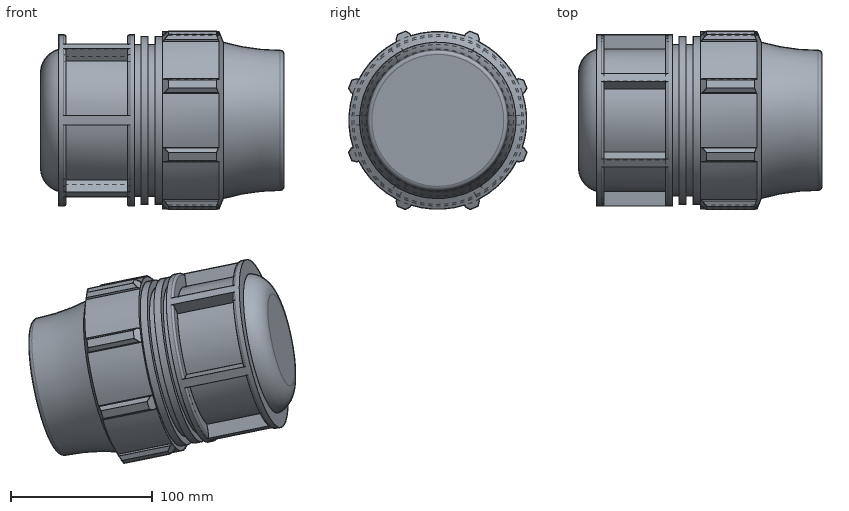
import cadquery as cq
import math

TOTAL_LENGTH = 172.0

CORE_RADIUS = 50.4
DOME_RADIUS = 50.9
DOME_FILLET = 17.7
GRIP_RADIUS = 60.5
GRIP_START = 12.9
GRIP_END = 66.5
GRIP_FLANGE_WIDTH = 5.2
GRIP_EDGE_FILLET = 1.7
GRIP_RIB_COUNT = 6
GRIP_RIB_WIDTH = 6.5

NECK_RADIUS = 53.7
COLLAR_RADIUS = 59.3
COLLAR_WIDTH = 5.2
COLLAR_PITCH = 10.1
COLLAR_COUNT = 2

NUT_RADIUS = 62.8
NUT_START = 86.2
NUT_CHAMFER_START = 126.0
NUT_END = 129.2
LUG_COUNT = 8
LUG_RADIUS = 66.9
LUG_SHOULDER_RADIUS = 64.0
LUG_BASE_WIDTH = 10.7
LUG_TOP_WIDTH = 6.2

NOSE_BASE_RADIUS = 55.2
NOSE_TIP_RADIUS = 49.5
NOSE_EDGE_FILLET = 3.0


def revolve_about_x(profile):
    """Revolve a closed (x, radius) profile a full turn about the X axis."""
    return profile.close().revolve(360, (0, 0, 0), (1, 0, 0))


def disc(start, end, radius):
    """Solid cylinder along X between two stations."""
    return cq.Workplane("YZ").workplane(offset=start).circle(radius).extrude(end - start)


def ring_of(feature, count, first_angle):
    """Union of equally spaced copies of a feature turned about the X axis."""
    ring = cq.Workplane("XY")
    for i in range(count):
        ring = ring.add(feature.rotate((0, 0, 0), (1, 0, 0), first_angle + i * 360 / count))
    return ring.combine()


def domed_core():
    """Rounded end cap, cut short by the first grip flange, on a plain core."""
    dome = disc(0, GRIP_END, DOME_RADIUS).faces("<X").edges().fillet(DOME_FILLET)
    dome = dome.intersect(disc(0, GRIP_START, DOME_RADIUS))
    return dome.union(disc(GRIP_START, GRIP_END, CORE_RADIUS))


def grip():
    """Two flanges with rounded inner rims, joined by ribs parallel to the axis."""
    left_flange = disc(GRIP_START, GRIP_START + GRIP_FLANGE_WIDTH, GRIP_RADIUS)
    right_flange = disc(GRIP_END - GRIP_FLANGE_WIDTH, GRIP_END, GRIP_RADIUS)
    left_flange = left_flange.faces(">X").edges().fillet(GRIP_EDGE_FILLET)
    right_flange = right_flange.faces("<X").edges().fillet(GRIP_EDGE_FILLET)

    rib = cq.Workplane("XY").box(
        GRIP_END - GRIP_START, GRIP_RADIUS, GRIP_RIB_WIDTH, centered=(False, False, True)
    ).translate((GRIP_START, 0, 0))
    ribs = ring_of(rib, GRIP_RIB_COUNT, 0)
    ribs = ribs.intersect(disc(GRIP_START, GRIP_END, GRIP_RADIUS))
    return left_flange.union(right_flange).union(ribs)


def neck():
    """Plain neck carrying evenly spaced collars, the last one against the nut."""
    body = disc(GRIP_END, NUT_START, NECK_RADIUS)
    for i in range(COLLAR_COUNT):
        collar_end = NUT_START - i * COLLAR_PITCH
        body = body.union(disc(collar_end - COLLAR_WIDTH, collar_end, COLLAR_RADIUS))
    return body


def nut():
    """Nut whose end cone also trims the lugs; the lugs ramp up at 45 degrees at the other end."""
    cone_slope = (NUT_END - NUT_CHAMFER_START) / (NUT_RADIUS - NOSE_BASE_RADIUS)
    envelope_rise = 2 * (LUG_RADIUS - NUT_RADIUS)
    envelope = revolve_about_x(
        cq.Workplane("XY")
        .moveTo(NUT_START, 0)
        .lineTo(NUT_START, NUT_RADIUS)
        .lineTo(NUT_START + envelope_rise, NUT_RADIUS + envelope_rise)
        .lineTo(NUT_CHAMFER_START - cone_slope * envelope_rise, NUT_RADIUS + envelope_rise)
        .lineTo(NUT_END, NOSE_BASE_RADIUS)
        .lineTo(NUT_END, 0)
    )
    lug = (
        cq.Workplane("YZ")
        .workplane(offset=NUT_START)
        .moveTo(0, -LUG_BASE_WIDTH / 2)
        .lineTo(LUG_SHOULDER_RADIUS, -LUG_BASE_WIDTH / 2)
        .lineTo(LUG_RADIUS, -LUG_TOP_WIDTH / 2)
        .lineTo(LUG_RADIUS, LUG_TOP_WIDTH / 2)
        .lineTo(LUG_SHOULDER_RADIUS, LUG_BASE_WIDTH / 2)
        .lineTo(0, LUG_BASE_WIDTH / 2)
        .close()
        .extrude(NUT_END - NUT_START)
    )
    half_pitch = 180 / LUG_COUNT
    body = disc(NUT_START, NUT_END, NUT_RADIUS).union(ring_of(lug, LUG_COUNT, half_pitch))
    return body.intersect(envelope)


def nose():
    """Concave taper that runs out parallel to the axis, then a rounded rim."""
    rim_start = TOTAL_LENGTH - NOSE_EDGE_FILLET
    taper_length = rim_start - NUT_END
    taper_drop = NOSE_BASE_RADIUS - NOSE_TIP_RADIUS
    taper_arc_radius = (taper_length**2 + taper_drop**2) / (2 * taper_drop)
    half_length = taper_length / 2
    taper_middle = (
        rim_start - half_length,
        NOSE_TIP_RADIUS + taper_arc_radius - math.sqrt(taper_arc_radius**2 - half_length**2),
    )
    return revolve_about_x(
        cq.Workplane("XY")
        .moveTo(NUT_END, 0)
        .lineTo(NUT_END, NOSE_BASE_RADIUS)
        .threePointArc(taper_middle, (rim_start, NOSE_TIP_RADIUS))
        .tangentArcPoint((TOTAL_LENGTH, NOSE_TIP_RADIUS - NOSE_EDGE_FILLET), relative=False)
        .lineTo(TOTAL_LENGTH, 0)
    )


result = domed_core().union(grip()).union(neck()).union(nut()).union(nose())